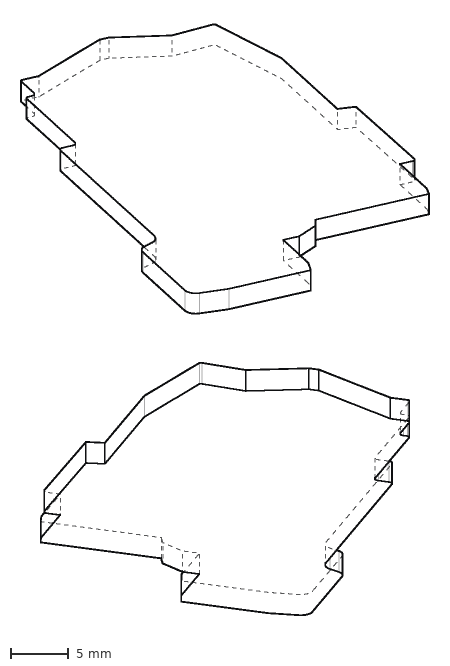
import cadquery as cq

length = 47.4
width = 28.95
thickness = 2.0

lower_edge = 2.28
middle_edge = 4.1
left_ledge = 5.1

foot_shoulder = 11.9
upper_left_edge = 27.25
upper_right_edge = 27.4
tab_left_top = 28.9

left_ledge_side = 3.85
left_step = 6.95
middle_step = 17.0
tab_right = 32.8
body_right = 39.05
neck_right = 41.2

foot = [
    (37.2, 0, 0.95),
    (46.85, 0, 1.05),
    (length, 3.5, 0),
    (length, 11.48, 0),
    (46.1, foot_shoulder, 0),
    (neck_right, foot_shoulder, 0),
]
right_side = [
    (neck_right, 13.45, 0),
    (40.0, 15.65, 0),
    (body_right, 16.1, 0),
    (body_right, 27.12, 0),
    (38.0, upper_right_edge, 0),
]
top_tab = [
    (tab_right, upper_right_edge, 0),
    (tab_right, width, 0.4),
    (21.35, tab_left_top, 0),
    (21.0, upper_left_edge, 0),
]
left_nose = [
    (10.2, upper_left_edge, 0),
    (1.8, 25.0, 0.2),
    (2.1, 20.7, 0),
    (0, 15.65, 0),
    (0, 14.75, 0),
    (left_ledge_side, 6.9, 0),
]
lower_steps = [
    (left_ledge_side, left_ledge, 0.25),
    (left_step, left_ledge, 0.45),
    (left_step, middle_edge, 0.3),
    (middle_step, middle_edge, 0.45),
    (middle_step, lower_edge, 0.45),
    (36.3, lower_edge, 1.2),
]
corners = foot + right_side + top_tab + left_nose + lower_steps


def make_plate():
    """Extrude the sharp-cornered outline to the plate thickness."""
    outline = [(x, y) for x, y, _ in corners]
    return cq.Workplane("XY").polyline(outline).close().extrude(thickness)


def round_corner(plate, x, y, radius):
    """Round the upright edge that stands at (x, y)."""
    edge = cq.selectors.NearestToPointSelector((x, y, thickness / 2))
    return plate.edges("|Z").edges(edge).fillet(radius)


result = make_plate()
for corner_x, corner_y, corner_radius in corners:
    if corner_radius > 0:
        result = round_corner(result, corner_x, corner_y, corner_radius)